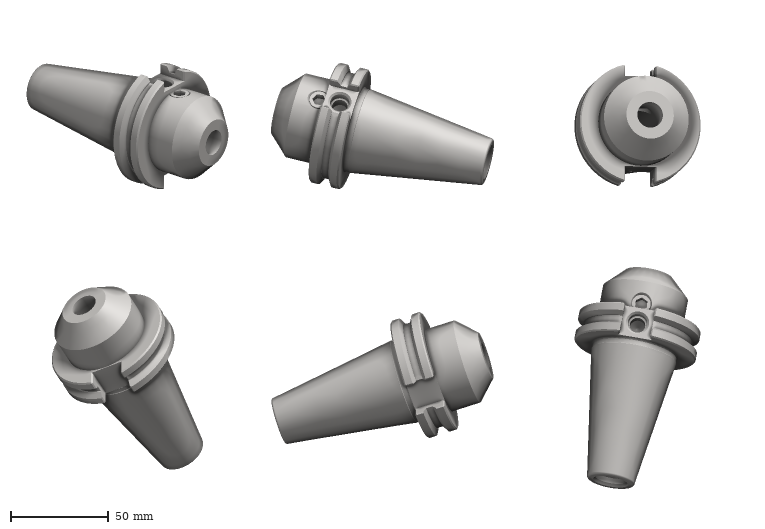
import cadquery as cq
import math


gauge_diameter = 44.45
taper_ratio = 7 / 24
taper_length = 68.26
taper_end_fillet = 1.2
gauge_radius = gauge_diameter / 2
small_end_radius = gauge_radius - taper_length * taper_ratio / 2

neck_radius = 43.94 / 2
neck_start = 0.25
neck_fillet = 0.76

flange_radius = 63.5 / 2
flange_back = 3.175
flange_front = 19.05
flange_chamfer = 0.7
rim_tolerance = 1e-4
flange_middle = (flange_back + flange_front) / 2
groove_half_floor = 1.85
groove_half_mouth = 3.6
groove_floor_radius = 28.05
groove_side_angle = 30

slot_width = 16.1
upper_slot_floor = 24.6
lower_slot_floor = 22.6

dowel_diameter = 10.05
dowel_depth = 4.8
dowel_chamfer = 1.0
pilot_diameter = 8.0
pilot_depth = 10.0
drill_point_angle = 118

nose_radius = gauge_radius
nose_length = 44.45
nose_cone_start = 34.45
nose_end_radius = 12.45

bore_radius = 13.39 / 2
counterbore_radius = 16.46 / 2
counterbore_mouth_width = 0.9
counterbore_mouth_depth = 1.56
counterbore_depth = 4.4
bore_lead_in = 2.1

screw_position = 22.225
screw_diameter = 9.73
screw_top = 21.7
screw_bottom = 8.0
countersink_width = 1.1
countersink_depth = 1.6
hex_across_flats = 6.0
hex_depth = 4.0
hex_turn = 4


def revolve_about_axis(outline):
    """Turn a closed outline, given in (axial, radial) coordinates, about the X axis."""
    return outline.close().revolve(360, (0, 0, 0), (1, 0, 0))


def make_shank():
    outline = (
        cq.Workplane("XY")
        .moveTo(-taper_length, 0)
        .lineTo(-taper_length, small_end_radius)
        .lineTo(0, gauge_radius)
        .lineTo(neck_start, neck_radius)
        .lineTo(flange_back - neck_fillet, neck_radius)
        .radiusArc((flange_back, neck_radius + neck_fillet), -neck_fillet)
        .lineTo(flange_back, 0)
    )
    return revolve_about_axis(outline).faces("<X").edges().fillet(taper_end_fillet)


def make_nose():
    outline = (
        cq.Workplane("XY")
        .moveTo(flange_front, 0)
        .lineTo(flange_front, nose_radius)
        .lineTo(nose_cone_start, nose_radius)
        .lineTo(nose_length, nose_end_radius)
        .lineTo(nose_length, 0)
    )
    return revolve_about_axis(outline)


def reaches_flange_rim(edge):
    """True for an edge parallel to X that lies on the outside diameter of the flange."""
    middle = edge.Center()
    return math.isclose(math.hypot(middle.y, middle.z), flange_radius, rel_tol=rim_tolerance)


def make_flange():
    """Grooved and slotted flange, chamfered along the rims and the slot mouths."""
    slope_depth = (groove_half_mouth - groove_half_floor) / math.tan(math.radians(groove_side_angle))
    slope_end_radius = flange_radius - slope_depth
    outline = (
        cq.Workplane("XY")
        .moveTo(flange_back, 0)
        .lineTo(flange_back, flange_radius)
        .lineTo(flange_middle - groove_half_mouth, flange_radius)
        .lineTo(flange_middle - groove_half_floor, slope_end_radius)
        .lineTo(flange_middle - groove_half_floor, groove_floor_radius)
        .lineTo(flange_middle + groove_half_floor, groove_floor_radius)
        .lineTo(flange_middle + groove_half_floor, slope_end_radius)
        .lineTo(flange_middle + groove_half_mouth, flange_radius)
        .lineTo(flange_front, flange_radius)
        .lineTo(flange_front, 0)
    )
    flange = revolve_about_axis(outline)
    for side, floor in ((1, upper_slot_floor), (-1, lower_slot_floor)):
        slot = cq.Workplane("XY").box(2 * flange_radius, slot_width, flange_radius)
        flange = flange.cut(slot.translate((flange_middle, 0, side * (floor + flange_radius / 2))))

    rims = flange.faces("<X or >X").edges("%CIRCLE")
    wall_ends = flange.faces("<X or >X").edges("|Z")
    wall_tops = flange.edges("|X").filter(reaches_flange_rim)
    return flange.newObject(rims.vals() + wall_ends.vals() + wall_tops.vals()).chamfer(flange_chamfer)


def make_bore():
    counterbore_end = -taper_length + counterbore_depth
    outline = (
        cq.Workplane("XY")
        .moveTo(-taper_length, 0)
        .lineTo(-taper_length, counterbore_radius + counterbore_mouth_width)
        .lineTo(-taper_length + counterbore_mouth_depth, counterbore_radius)
        .lineTo(counterbore_end, counterbore_radius)
        .lineTo(counterbore_end + bore_lead_in, bore_radius)
        .lineTo(nose_length, bore_radius)
        .lineTo(nose_length, 0)
    )
    return revolve_about_axis(outline)


def make_dowel_hole():
    """Chamfered flat-bottomed hole with a drilled pilot below it."""
    dowel_radius = dowel_diameter / 2
    pilot_radius = pilot_diameter / 2
    point_depth = pilot_radius / math.tan(math.radians(drill_point_angle / 2))
    hole = (
        cq.Workplane("XZ")
        .moveTo(0, 0)
        .lineTo(dowel_radius + dowel_chamfer, 0)
        .lineTo(dowel_radius, -dowel_chamfer)
        .lineTo(dowel_radius, -dowel_depth)
        .lineTo(pilot_radius, -dowel_depth)
        .lineTo(pilot_radius, -pilot_depth)
        .lineTo(0, -pilot_depth - point_depth)
        .close()
        .revolve(360, (0, 0, 0), (0, 1, 0))
    )
    return hole.translate((flange_middle, 0, upper_slot_floor))


def make_screw_hole():
    """Radial hole from the bore to the nose surface, with a steep countersink."""
    hole_radius = screw_diameter / 2
    hole = (
        cq.Workplane("XZ")
        .moveTo(0, 0)
        .lineTo(hole_radius, 0)
        .lineTo(hole_radius, nose_radius - countersink_depth)
        .lineTo(hole_radius + countersink_width, nose_radius)
        .lineTo(0, nose_radius)
        .close()
        .revolve(360, (0, 0, 0), (0, 1, 0))
    )
    return hole.translate((screw_position, 0, 0))


def make_holder():
    body = make_shank().union(make_flange()).union(make_nose())
    for cutter in (make_bore(), make_dowel_hole(), make_screw_hole()):
        body = body.cut(cutter)
    return body


def make_set_screw():
    screw = cq.Workplane("XY").circle(screw_diameter / 2).extrude(screw_top - screw_bottom)
    hex_across_corners = hex_across_flats / math.cos(math.pi / 6)
    socket = (
        cq.Workplane("XY")
        .workplane(offset=screw_top - screw_bottom - hex_depth)
        .polygon(6, hex_across_corners)
        .extrude(hex_depth)
        .rotate((0, 0, 0), (0, 0, 1), hex_turn)
    )
    return screw.cut(socket).translate((screw_position, 0, screw_bottom))


holder = make_holder()
set_screw = make_set_screw()
result = cq.Compound.makeCompound([holder.val(), set_screw.val()])